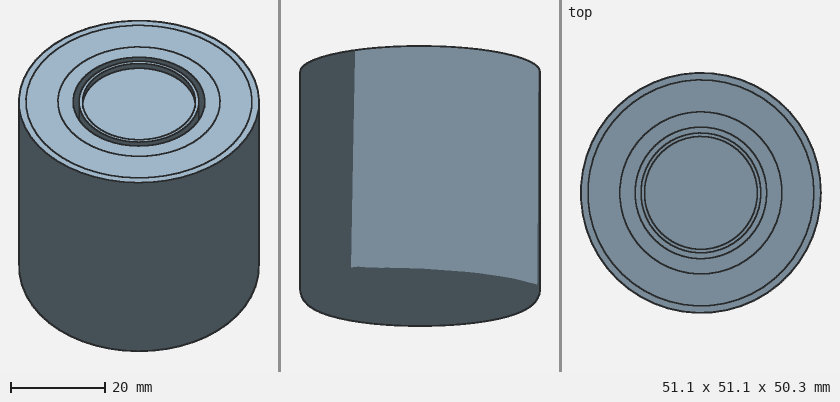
import cadquery as cq

outer_diameter = 51.1
height = 50.3
liner_diameter = 48.1
sleeve_diameter = 34.5
bore_diameter = 28.0
tube_diameter = 25.5
core_diameter = 24.0
core_recess = 1.4
bottom_radius = 3.0

floor_thickness = (outer_diameter - liner_diameter) / 2
inner_height = height - floor_thickness


def cylinder_on_floor(diameter, length):
    """Upright cylinder standing on the inside floor of the shell."""
    return cq.Workplane("XY", origin=(0, 0, floor_thickness)).circle(diameter / 2).extrude(length)


def ring_on_floor(outside, inside):
    """Upright ring from the shell floor to the flush top face."""
    return cylinder_on_floor(outside, inner_height).cut(cylinder_on_floor(inside, inner_height))


def make_shell():
    """Cup with a closed bottom and a rounded lower edge."""
    body = cq.Workplane("XY").circle(outer_diameter / 2).extrude(height)
    body = body.faces("<Z").edges().fillet(bottom_radius)
    return body.cut(cylinder_on_floor(liner_diameter, inner_height))


def make_liner():
    """Thick ring filling the shell around the sleeve."""
    return ring_on_floor(liner_diameter, sleeve_diameter)


def make_sleeve():
    """Ring inside the liner, leaving an annular gap around the tube."""
    return ring_on_floor(sleeve_diameter, bore_diameter)


def make_tube():
    """Thin-walled tube around the core."""
    return ring_on_floor(tube_diameter, core_diameter)


def make_core():
    """Solid cylinder filling the tube up to just below its rim."""
    return cylinder_on_floor(core_diameter, inner_height - core_recess)


shell = make_shell()
liner = make_liner()
sleeve = make_sleeve()
tube = make_tube()
core = make_core()

result = cq.Compound.makeCompound([
    shell.val(),
    liner.val(),
    sleeve.val(),
    tube.val(),
    core.val(),
])